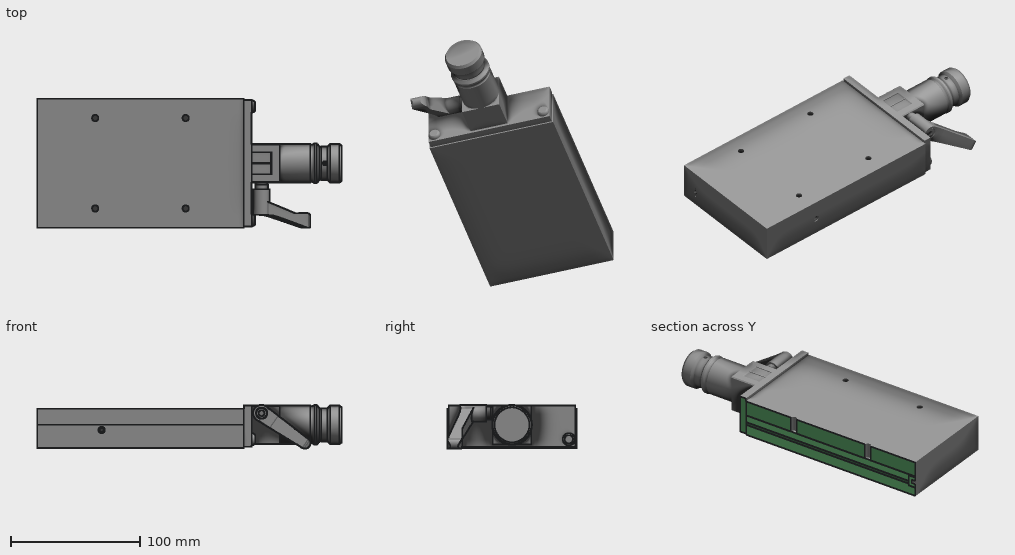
import cadquery as cq
import math

SLIDE_LENGTH = 160.0
SLIDE_WIDTH = 100.0
BASE_HEIGHT = 18.0
TABLE_HEIGHT = 12.5
SLIDE_TOP = BASE_HEIGHT + TABLE_HEIGHT

DOVETAIL_DEPTH = 8.5
DOVETAIL_FLOOR = BASE_HEIGHT - DOVETAIL_DEPTH
DOVETAIL_NECK_HALF = 23.0
DOVETAIL_FOOT_HALF = 30.0
GIB_THICKNESS = 6.4

GIB_SCREW_DIA = 8.8
GIB_SCREW_LENGTH = 6.0
GIB_SCREW_Y = 36.0
GIB_SCREW_Z = 12.2
GIB_SCREW_SLOT_WIDTH = 1.6
GIB_SCREW_SLOT_DEPTH = 1.5
GIB_SCREW_BORE_DIA = 3.2
GIB_SCREW_BORE_DEPTH = 3.0

TABLE_HOLE_DIA = 4.92
TABLE_HOLE_PITCH = 70.0
SIDE_HOLE_X = 50.0
SIDE_HOLE_Z = 14.0
SIDE_HOLE_DIA = 3.24
SIDE_HOLE_DEPTH = 12.0
SIDE_RECESS_DIA = 5.0
SIDE_RECESS_DEPTH = 1.0

PLATE_THICKNESS = 6.0
PLATE_GAP = 1.0
PLATE_TOP = 33.0
PLATE_FACE_X = SLIDE_LENGTH + PLATE_THICKNESS
SCREW_HEAD_DIA = 9.5
SCREW_HEAD_FLAT_DIA = 6.5
SCREW_HEAD_HEIGHT = 2.75
SCREW_SHANK_DIA = 5.0
SCREW_SHANK_LENGTH = 16.0
SCREW_Y = 44.0
SCREW_Z = 6.8

BARREL_RADIUS = 15.0
ACTUATOR_Z = PLATE_TOP - BARREL_RADIUS
BLOCK_LENGTH = 22.0
BLOCK_CHAMFER = 0.8
BLOCK_END_X = PLATE_FACE_X + BLOCK_LENGTH
WINDOW_LENGTH = 15.5
WINDOW_WIDTH = 17.0
WINDOW_DEPTH = 0.5
WINDOW_END_SLOPE = 0.8
WINDOW_RIB = 0.8
BARREL_END_X = 211.3
COVE_X = 212.6
COVE_END_X = 214.0
RING_START_X = 214.9
RING_END_X = 216.4
GROOVE_X = 218.6
NECK_START_X = 219.8
NECK_END_X = 224.8
KNOB_START_X = 226.9
KNOB_CHAMFER_X = 234.0
KNOB_END_X = 236.0
COVE_RADIUS = 14.4
GROOVE_RADIUS = 12.5
RING_RADIUS = 15.5
NECK_RADIUS = 13.0
KNOB_FACE_RADIUS = 13.5
SET_SCREW_X = 222.8
SET_SCREW_HOLE_DIA = 3.2
SET_SCREW_HOLE_DEPTH = 1.0
SET_SCREW_SOCKET_DIA = 1.8
SET_SCREW_SOCKET_DEPTH = 2.0

HUB_X = 173.8
HUB_Z = 27.0
HUB_RADIUS = 6.5
HUB_START = 20.0
HUB_END = 40.0
ARM_ROOT_RADIUS = 6.4
ARM_OUTER_Y = SLIDE_WIDTH / 2
OUTER_BEND_RADIUS = 36.0
ARM_OUTER_BEND = 6.5
ARM_ROOT_Y = 29.2
PAD_START = 28.3
PAD_SETBACK = 3.0
PAD_Y = 38.6
TIP_INNER_Y = 41.8
TIP_ROUND_DROP = 2.4
STEM_DIA = 10.0
WASHER_DIA = 9.5
WASHER_END = 16.5
TIP_X = 207.4
TIP_Z = 3.7
TIP_OVERHANG = 0.51
TIP_RADIUS = TIP_Z + TIP_OVERHANG
LEVER_SCREW_RECESS_DIA = 8.8
LEVER_SCREW_RECESS_DEPTH = 2.0
LEVER_SCREW_DIA = 8.0
LEVER_SCREW_HEIGHT = 1.5
LEVER_SCREW_SOCKET_DIA = 4.5


def dovetail(gib_side_extra):
    """Dovetail prism along X, widened by gib_side_extra on the +Y flank."""
    return (
        cq.Workplane("YZ")
        .polyline([
            (-DOVETAIL_NECK_HALF, BASE_HEIGHT),
            (-DOVETAIL_FOOT_HALF, DOVETAIL_FLOOR),
            (DOVETAIL_FOOT_HALF + gib_side_extra, DOVETAIL_FLOOR),
            (DOVETAIL_NECK_HALF + gib_side_extra, BASE_HEIGHT),
        ])
        .close()
        .extrude(SLIDE_LENGTH)
    )


def rod(plane, origin, diameter, length):
    """Cylinder that starts at origin and runs along the plane's normal."""
    return cq.Workplane(plane, origin=origin).circle(diameter / 2).extrude(length)


def slide_block(bottom, height):
    return cq.Workplane("XY", origin=(SLIDE_LENGTH / 2, 0, bottom)).box(
        SLIDE_LENGTH, SLIDE_WIDTH, height, centered=(True, True, False)
    )


def gib_screw_blank():
    return rod("YZ", (0, GIB_SCREW_Y, GIB_SCREW_Z), GIB_SCREW_DIA, GIB_SCREW_LENGTH)


def plate_screw(y):
    """Button head screw along -X, with its head seated on the end plate."""
    flat_radius = SCREW_HEAD_FLAT_DIA / 2
    head_radius = SCREW_HEAD_DIA / 2
    shank_radius = SCREW_SHANK_DIA / 2
    bulge = (0.65 * SCREW_HEAD_HEIGHT, head_radius - 0.3 * (head_radius - flat_radius))
    return (
        cq.Workplane("XY")
        .moveTo(-SCREW_SHANK_LENGTH, 0)
        .lineTo(-SCREW_SHANK_LENGTH, shank_radius)
        .lineTo(0, shank_radius)
        .lineTo(0, head_radius)
        .threePointArc(bulge, (SCREW_HEAD_HEIGHT, flat_radius))
        .lineTo(SCREW_HEAD_HEIGHT, 0)
        .close()
        .revolve(360, (0, 0, 0), (1, 0, 0))
        .translate((PLATE_FACE_X, y, SCREW_Z))
    )


def make_base():
    base = slide_block(0, BASE_HEIGHT).cut(dovetail(GIB_THICKNESS)).cut(gib_screw_blank())
    side = (SIDE_HOLE_X, -SLIDE_WIDTH / 2, SIDE_HOLE_Z)
    base = base.cut(rod("XZ", side, SIDE_HOLE_DIA, -SIDE_HOLE_DEPTH))
    return base.cut(rod("XZ", side, SIDE_RECESS_DIA, -SIDE_RECESS_DEPTH))


def make_table():
    return (
        slide_block(BASE_HEIGHT, TABLE_HEIGHT)
        .faces(">Z")
        .workplane(origin=(SLIDE_LENGTH / 2, 0, SLIDE_TOP))
        .rect(TABLE_HOLE_PITCH, TABLE_HOLE_PITCH, forConstruction=True)
        .vertices()
        .hole(TABLE_HOLE_DIA, TABLE_HEIGHT)
        .union(dovetail(0))
    )


def make_gib():
    return dovetail(GIB_THICKNESS).cut(dovetail(0)).cut(gib_screw_blank())


def make_gib_screw():
    slot = cq.Workplane("XY", origin=(0, GIB_SCREW_Y, GIB_SCREW_Z)).box(
        2 * GIB_SCREW_SLOT_DEPTH, GIB_SCREW_SLOT_WIDTH, GIB_SCREW_DIA
    )
    bore = rod("YZ", (0, GIB_SCREW_Y, GIB_SCREW_Z), GIB_SCREW_BORE_DIA, GIB_SCREW_BORE_DEPTH)
    return gib_screw_blank().cut(slot).cut(bore)


def make_end_plate():
    return cq.Workplane("XY", origin=(SLIDE_LENGTH, 0, PLATE_GAP)).box(
        PLATE_THICKNESS,
        SLIDE_WIDTH - 2 * PLATE_GAP,
        PLATE_TOP - PLATE_GAP,
        centered=(False, True, False),
    )


def make_knob():
    """Turned barrel, ring, neck and knob, revolved about the actuator axis."""
    return (
        cq.Workplane("XY")
        .moveTo(BLOCK_END_X, 0)
        .lineTo(BLOCK_END_X, BARREL_RADIUS)
        .lineTo(BARREL_END_X, BARREL_RADIUS)
        .threePointArc((COVE_X, COVE_RADIUS), (COVE_END_X, BARREL_RADIUS))
        .lineTo(RING_START_X, RING_RADIUS)
        .lineTo(RING_END_X, RING_RADIUS)
        .lineTo(GROOVE_X, NECK_RADIUS)
        .lineTo(GROOVE_X, GROOVE_RADIUS)
        .lineTo(NECK_START_X, NECK_RADIUS)
        .lineTo(NECK_END_X, NECK_RADIUS)
        .lineTo(KNOB_START_X, BARREL_RADIUS)
        .lineTo(KNOB_CHAMFER_X, BARREL_RADIUS)
        .lineTo(KNOB_END_X, KNOB_FACE_RADIUS)
        .lineTo(KNOB_END_X, 0)
        .close()
        .revolve(360, (0, 0, 0), (1, 0, 0))
        .translate((0, 0, ACTUATOR_Z))
    )


def make_actuator():
    block = (
        cq.Workplane("XY", origin=(PLATE_FACE_X, 0, ACTUATOR_Z))
        .box(BLOCK_LENGTH, 2 * BARREL_RADIUS, 2 * BARREL_RADIUS, centered=(False, True, True))
        .edges("|X and >Z")
        .chamfer(BLOCK_CHAMFER)
    )
    pane_width = (WINDOW_WIDTH - WINDOW_RIB) / 2
    for side in (-1, 1):
        pane_y = side * (WINDOW_RIB + pane_width) / 2
        pane = (
            cq.Workplane("XZ", origin=(PLATE_FACE_X, pane_y, PLATE_TOP))
            .polyline([
                (0, 0),
                (WINDOW_LENGTH, 0),
                (WINDOW_LENGTH - WINDOW_END_SLOPE, -WINDOW_DEPTH),
                (0, -WINDOW_DEPTH),
            ])
            .close()
            .extrude(pane_width / 2, both=True)
        )
        block = block.cut(pane)
    neck_top = (SET_SCREW_X, 0, ACTUATOR_Z + NECK_RADIUS)
    knob = make_knob().cut(rod("XY", neck_top, SET_SCREW_HOLE_DIA, -SET_SCREW_HOLE_DEPTH))
    knob = knob.cut(rod("XY", neck_top, SET_SCREW_SOCKET_DIA, -SET_SCREW_SOCKET_DEPTH))
    return block.union(knob)


def lever_arm():
    """Arm tapering from the hub to a round tip, leaning away from the stage."""
    run = TIP_X - HUB_X
    drop = HUB_Z - TIP_Z
    reach = math.hypot(run, drop)
    spread = math.asin((ARM_ROOT_RADIUS - TIP_RADIUS) / reach)
    drop_angle = math.degrees(math.atan2(drop, run))

    def flank(radius, centre, side):
        """Point where the flank touches a circle of this radius, centred on the arm's axis."""
        return (centre + radius * math.sin(spread), side * radius * math.cos(spread))

    plan = (
        cq.Workplane("XZ")
        .moveTo(*flank(ARM_ROOT_RADIUS, 0, 1))
        .lineTo(*flank(TIP_RADIUS, reach, 1))
        .threePointArc((reach + TIP_RADIUS, 0), flank(TIP_RADIUS, reach, -1))
        .lineTo(*flank(ARM_ROOT_RADIUS, 0, -1))
        .close()
        .extrude(SLIDE_WIDTH / 2)
    )
    tip_end = reach + TIP_RADIUS
    pad_round = (tip_end - 0.5 * TIP_RADIUS, -PAD_Y - 0.3 * (TIP_INNER_Y - PAD_Y))
    outer_bend = (ARM_OUTER_BEND, -HUB_END)
    profile = (
        cq.Workplane("XY")
        .moveTo(0, -HUB_END)
        .lineTo(*outer_bend)
        .lineTo(reach, -ARM_OUTER_Y)
        .threePointArc(
            (tip_end - 0.3 * TIP_RADIUS, -ARM_OUTER_Y + 0.3 * TIP_ROUND_DROP),
            (tip_end, -ARM_OUTER_Y + TIP_ROUND_DROP),
        )
        .lineTo(tip_end, -TIP_INNER_Y)
        .threePointArc(pad_round, (reach - PAD_SETBACK, -PAD_Y))
        .lineTo(PAD_START, -PAD_Y)
        .lineTo(0, -ARM_ROOT_Y)
        .close()
        .extrude(HUB_RADIUS, both=True)
    )
    profile = profile.edges(cq.selectors.NearestToPointSelector((*outer_bend, 0))).fillet(OUTER_BEND_RADIUS)
    return (
        plan.intersect(profile)
        .rotate((0, 0, 0), (0, 1, 0), drop_angle)
        .translate((HUB_X, 0, HUB_Z))
    )


def make_lever():
    def turned(start, end, diameter):
        return rod("XZ", (HUB_X, -start, HUB_Z), diameter, end - start)

    recess_floor = HUB_END - LEVER_SCREW_RECESS_DEPTH
    screw_top = recess_floor + LEVER_SCREW_HEIGHT
    return (
        turned(BARREL_RADIUS, WASHER_END, WASHER_DIA)
        .union(turned(WASHER_END, HUB_START, STEM_DIA))
        .union(turned(HUB_START, HUB_END, 2 * HUB_RADIUS))
        .union(lever_arm())
        .cut(turned(recess_floor, SLIDE_WIDTH / 2, LEVER_SCREW_RECESS_DIA))
        .union(turned(recess_floor, screw_top, LEVER_SCREW_DIA))
        .cut(turned(recess_floor, screw_top, LEVER_SCREW_SOCKET_DIA))
    )


plate_screws = [plate_screw(side * SCREW_Y) for side in (-1, 1)]
base = make_base()
end_plate = make_end_plate()
for screw in plate_screws:
    base = base.cut(screw)
    end_plate = end_plate.cut(screw)

table = make_table()
gib = make_gib()
gib_screw = make_gib_screw()
actuator = make_actuator()
lever = make_lever()

result = cq.Compound.makeCompound([
    base.val(),
    table.val(),
    gib.val(),
    gib_screw.val(),
    end_plate.val(),
    *[screw.val() for screw in plate_screws],
    actuator.val(),
    lever.val(),
])